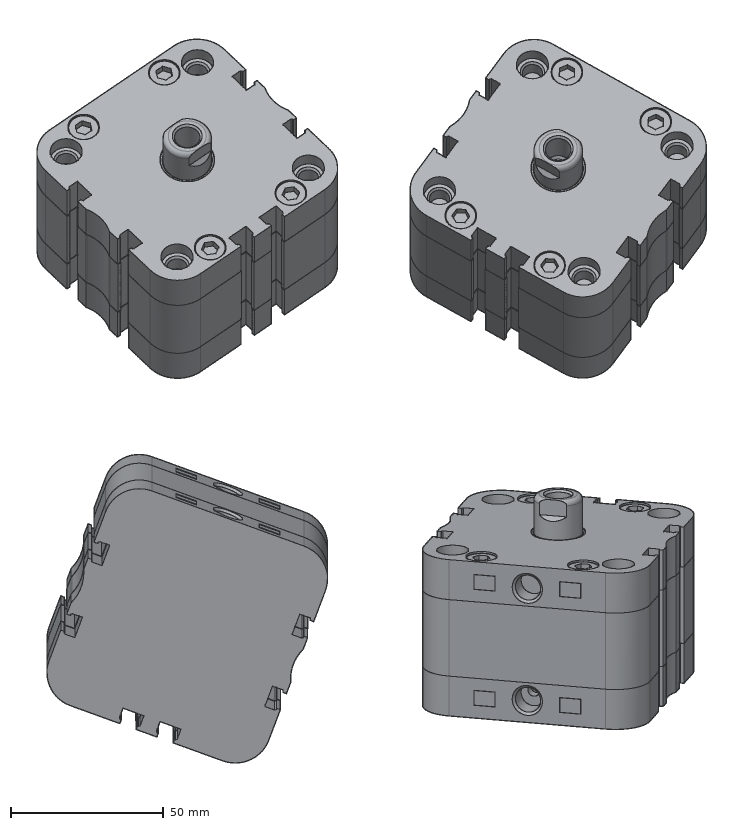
import cadquery as cq
import math

width = 77.0
corner_radius = 11.8
half_width = width / 2

cover_height = 13.8
body_height = 54.0
rod_projection = 13.0
barrel_height = body_height - 2 * cover_height
front_cover_base = body_height - cover_height
rod_top = body_height + rod_projection

side_slot_offset = 12.9
end_slot_offset = 6.5
slot_depth = 5.2
slot_lip = 1.3
slot_lip_bevel = 0.4
cover_slot_mouth = 5.7
barrel_slot_mouth = 5.4
slot_undercut = 0.8
barrel_slot_rise = 0.2

channel_width = 11.9
channel_depth = 1.3
barrel_channel_fillet = 1.5

mount_offset = 28.25
mount_bore_diameter = 10.5
mount_bore_depth = 4.9
mount_thread_diameter = 6.65
mount_thread_depth = 11.0
mount_chamfer_diameter = 8.0

screw_x = 32.25
screw_y = 17.35
screw_recess_diameter = 10.3
screw_top_diameter = 9.8
screw_recess_depth = 0.5
screw_bevel = 0.25
hex_across_flats = 5.0
hex_depth = 2.5

port_axis_height = 7.65
port_diameter = 8.57
port_mouth_diameter = 10.3
port_depth = 8.0
air_hole_diameter = 4.0
air_hole_rise = 1.0
air_hole_depth = 4.0

label_width = 7.2
label_height = 5.1
label_depth = 0.2
label_offset = 14.6
label_axis_height = 7.0

rod_diameter = 16.0
rod_fillet = 1.75
rod_across_flats = 13.0
flat_height = 5.5
rod_thread_diameter = 8.38
rod_thread_depth = 12.0
rod_mouth_diameter = 9.8
rod_drill_flat_diameter = 6.65
passage_mouth_diameter = 18.0
passage_bore_diameter = 17.7
passage_lip_diameter = 16.54
passage_bore_depth = 0.25


def slot_cutter(mouth, depth, height):
    """T-slot open towards +Y at Y = 0, centred on X = 0."""
    half_mouth = mouth / 2
    half_inner = half_mouth + slot_undercut
    right_side = [
        (half_mouth, 0),
        (half_mouth, -slot_lip),
        (half_inner - slot_lip_bevel, -slot_lip),
        (half_inner, -slot_lip - slot_lip_bevel),
        (half_inner, -depth),
    ]
    left_side = [(-x, y) for x, y in reversed(right_side)]
    return cq.Workplane("XY").polyline(right_side + left_side).close().extrude(height)


def profile_block(height, mouth, depth):
    """Rounded square block with the sensor slots and the two side channels."""
    block = cq.Workplane("XY").rect(width, width).extrude(height).edges("|Z").fillet(corner_radius)

    slot = slot_cutter(mouth, depth, height).translate((0, half_width, 0))
    for offset in (-side_slot_offset, side_slot_offset):
        side_slot = slot.translate((offset, 0, 0))
        block = block.cut(side_slot).cut(side_slot.mirror("XZ"))
    end_slot = slot.rotate((0, 0, 0), (0, 0, 1), -90)
    for offset in (-end_slot_offset, end_slot_offset):
        block = block.cut(end_slot.translate((0, offset, 0)))

    channel_radius = ((channel_width / 2) ** 2 + channel_depth**2) / (2 * channel_depth)
    channel_axis = half_width - channel_depth + channel_radius
    channels = (
        cq.Workplane("XY")
        .pushPoints([(0, -channel_axis), (0, channel_axis)])
        .circle(channel_radius)
        .extrude(height)
    )
    return block.cut(channels)


def cone(bottom_diameter, top_diameter, base, top):
    """Upright truncated cone between two heights."""
    return (
        cq.Workplane("XY", origin=(0, 0, base))
        .circle(bottom_diameter / 2)
        .workplane(offset=top - base)
        .circle(top_diameter / 2)
        .loft()
    )


def cylinder(diameter, base, top):
    return cq.Workplane("XY", origin=(0, 0, base)).circle(diameter / 2).extrude(top - base)


def port_cutter():
    """Threaded port along +X from the -X face, with a 45 degree mouth."""
    mouth_depth = (port_mouth_diameter - port_diameter) / 2
    port = cylinder(port_diameter, 0, port_depth)
    mouth = cone(port_mouth_diameter, port_diameter, 0, mouth_depth)
    return port.union(mouth).rotate((0, 0, 0), (0, 1, 0), 90).translate((-half_width, 0, 0))


def label_cutters():
    """Two label panels, one on each side of a port."""
    return (
        cq.Workplane("YZ", origin=(-half_width, 0, 0))
        .pushPoints([(-label_offset, 0), (label_offset, 0)])
        .rect(label_width, label_height)
        .extrude(label_depth)
    )


def mount_cutter():
    """Counterbored mounting hole going down from Z = 0."""
    chamfer = (mount_chamfer_diameter - mount_thread_diameter) / 2
    bore = cylinder(mount_bore_diameter, -mount_bore_depth, 0)
    thread = cylinder(mount_thread_diameter, -mount_thread_depth, 0)
    lead_in = cone(
        mount_thread_diameter, mount_chamfer_diameter, -mount_bore_depth - chamfer, -mount_bore_depth
    )
    return bore.union(thread).union(lead_in)


def screw_cutter(hex_angle):
    """Space around and inside a bevelled socket screw head, going down from Z = 0."""
    head_top = -screw_recess_depth
    head_edge = head_top - screw_bevel
    recess = cylinder(screw_recess_diameter, head_edge, 0)
    head = cone(screw_recess_diameter, screw_top_diameter, head_edge, head_top)
    socket = (
        cq.Workplane("XY", origin=(0, 0, head_top))
        .polygon(6, hex_across_flats / math.cos(math.pi / 6))
        .extrude(-hex_depth)
        .rotate((0, 0, 0), (0, 0, 1), hex_angle)
    )
    return recess.cut(head).union(socket)


def rod_passage():
    """Rod hole with a stepped, chamfered mouth, through the whole front cover."""
    mouth_chamfer = (passage_mouth_diameter - passage_bore_diameter) / 2
    lip_chamfer = (passage_lip_diameter - rod_diameter) / 2
    bore_floor = body_height - passage_bore_depth
    passage = cylinder(rod_diameter, front_cover_base, body_height)
    passage = passage.union(cylinder(passage_bore_diameter, bore_floor, body_height))
    passage = passage.union(
        cone(passage_bore_diameter, passage_mouth_diameter, body_height - mouth_chamfer, body_height)
    )
    return passage.union(cone(rod_diameter, passage_lip_diameter, bore_floor - lip_chamfer, bore_floor))


def make_rear_cover():
    cover = profile_block(cover_height, cover_slot_mouth, slot_depth)
    cover = cover.cut(port_cutter().translate((0, 0, port_axis_height)))
    air_hole = (
        cq.Workplane("YZ", origin=(-half_width, 0, port_axis_height + air_hole_rise))
        .circle(air_hole_diameter / 2)
        .extrude(port_depth + air_hole_depth)
    )
    return cover.cut(air_hole).cut(label_cutters().translate((0, 0, label_axis_height)))


def make_barrel():
    barrel = profile_block(barrel_height, barrel_slot_mouth, slot_depth - barrel_slot_rise)
    rim_limit = side_slot_offset / 2
    channel_rims = cq.selectors.BoxSelector(
        (-rim_limit, -width, 0), (rim_limit, width, barrel_height)
    )
    barrel = barrel.edges("|Z").edges(channel_rims).fillet(barrel_channel_fillet)
    return barrel.translate((0, 0, cover_height))


def make_front_cover():
    cover = profile_block(cover_height, cover_slot_mouth, slot_depth)
    cover = cover.translate((0, 0, front_cover_base))
    cover = cover.cut(port_cutter().translate((0, 0, body_height - port_axis_height)))
    cover = cover.cut(label_cutters().translate((0, 0, body_height - label_axis_height)))
    for x_side in (-1, 1):
        hex_angle = 30 if x_side < 0 else 0
        for y_side in (-1, 1):
            mount_place = (x_side * mount_offset, y_side * mount_offset, body_height)
            screw_place = (x_side * screw_x, y_side * screw_y, body_height)
            cover = cover.cut(mount_cutter().translate(mount_place))
            cover = cover.cut(screw_cutter(hex_angle).translate(screw_place))
    return cover.cut(rod_passage())


def make_rod():
    rod = cylinder(rod_diameter, front_cover_base, rod_top).faces(">Z").edges().fillet(rod_fillet)

    flat_x = rod_across_flats / 2
    radius = rod_diameter / 2
    flat_base = rod_top - flat_height
    flat = (
        cq.Workplane("XZ")
        .polyline([
            (flat_x, rod_top),
            (flat_x, flat_base),
            (radius, flat_base - (radius - flat_x)),
            (radius, rod_top),
        ])
        .close()
        .extrude(radius, both=True)
    )
    rod = rod.cut(flat).cut(flat.mirror("YZ"))

    mouth_chamfer = (rod_mouth_diameter - rod_thread_diameter) / 2
    taper = (rod_thread_diameter - rod_drill_flat_diameter) / 2
    hole_floor = rod_top - rod_thread_depth
    rod = rod.cut(cylinder(rod_thread_diameter, hole_floor, rod_top))
    rod = rod.cut(cone(rod_thread_diameter, rod_mouth_diameter, rod_top - mouth_chamfer, rod_top))
    return rod.cut(cone(rod_drill_flat_diameter, rod_thread_diameter, hole_floor - taper, hole_floor))


rear_cover = make_rear_cover()
barrel = make_barrel()
front_cover = make_front_cover()
rod = make_rod()

result = cq.Compound.makeCompound([rear_cover.val(), barrel.val(), front_cover.val(), rod.val()])